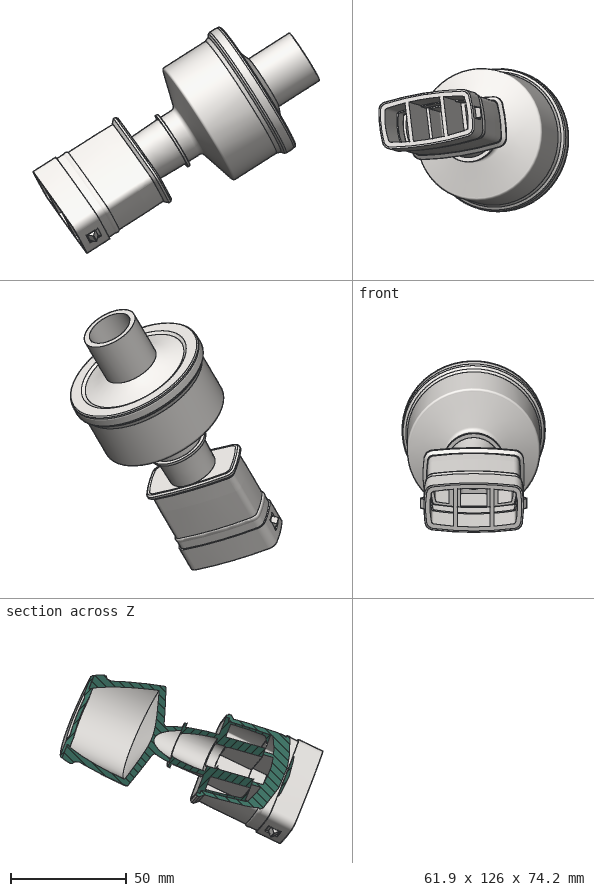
import cadquery as cq
tilt_below_horizontal = 20.0

inlet_radius = 12.2
inlet_bore_radius = 9.7
lid_dome_start = 20.9
lid_face = 24.0
lid_seam = 25.2
lid_rim_radius = 30.8
lid_rim_chamfer = 0.5
lid_recess_outer_radius = 25.2
lid_recess_inner_radius = 23.7
lid_recess_depth = 0.8
lid_dome_mid_radius = 17.6
lid_dome_mid = 23.1
lid_thickness = 1.9

housing_bore_radius = 26.15
housing_radius = 28.67
rim_radius = 30.94
rim_lip_height = 0.8
rim_side_end = 29.0
rim_slope_start = 29.9
rim_slope_end = 30.8
rim_slope_start_radius = 30.5
rim_slope_end_radius = 29.4
rim_cove_end = 32.6
housing_side_end = 53.7
housing_edge_inset = 1.0
housing_cone_start = 54.8
housing_cone_end = 59.2
housing_cone_small_radius = 12.7
neck_start = 61.5
neck_radius = 11.3
neck_bore_radius = 9.6
housing_wall = housing_radius - housing_bore_radius

joint = 67.0
collar_radius = 13.17
collar_thickness = 1.1
tube_end_radius = 10.9
tube_bore_radius = 8.6
flange_rear = 82.0
plate_front = 83.7
plate_half_width = 20.2
plate_half_height = 10.7
flange_front = 85.3
flange_rear_chamfer = 0.8
flange_front_chamfer = 1.5
flange_half_width = 21.87
flange_half_height = 12.1
plug_end = 102.1
plug_wall = 1.3
center_pocket_width = 11.6
center_pocket_half_height = 7.7
center_pocket_rear = 86.3
center_pocket_corner = 1.6
side_pocket_rear = 85.1
side_pocket_inner_x = 10.6
port_radius = 5.86

shell_half_width = 20.35
shell_half_height = 10.5
draft_line = 93.0
rear_draft = 1.0
step_start = 108.1
bead_top = 109.0
step_end = 110.4
bead_half_width = 20.98
bead_half_height = 10.9
tip_half_width = 20.8
tip_half_height = 10.7
mouth_end = 125.46
shell_wall = 1.9
cavity_step = 109.3
cavity_step_height = 0.5
divider_center_x = 8.0
divider_width = 1.8

lug_start = 117.6
lug_tip = 119.7
lug_end = 121.7
lug_tip_flat = 0.4
lug_tip_x = 23.0
lug_height = 4.4
sleeve_start = 113.8
sleeve_half_width = 21.49
sleeve_half_height = 11.4
window_start = 116.3
window_length = 5.9
window_height = 5.3

top_bow = 1.5
side_bow = 0.9
corner_center_x = 17.6
smallest_corner = 0.6


def flat_section(half_width, half_height):
    """Rounded cross-section; the half sizes are measured at the crown of each bowed side."""
    x = half_width - side_bow
    y = half_height - top_bow
    corner = max(half_width - corner_center_x, smallest_corner)
    return (
        cq.Sketch()
        .arc((-x, y), (0, half_height), (x, y))
        .arc((x, y), (half_width, 0), (x, -y))
        .arc((x, -y), (0, -half_height), (-x, -y))
        .arc((-x, -y), (-half_width, 0), (-x, y))
        .assemble()
        .vertices()
        .fillet(corner)
    )


def flat_block(half_width, half_height, start, length, draft=0.0):
    section = flat_section(half_width, half_height)
    return cq.Workplane("XY").workplane(offset=start).placeSketch(section).extrude(length, taper=draft)


def make_bead(sections):
    """Smooth skin through sections given as (half width, half height, position)."""
    start = sections[0][2]
    sketches = [
        flat_section(half_width, half_height).moved(cq.Location(cq.Vector(0, 0, position - start)))
        for half_width, half_height, position in sections
    ]
    return cq.Workplane("XY").workplane(offset=start).placeSketch(*sketches).loft()


def box_between(x_start, x_end, half_height, start, end):
    return (
        cq.Workplane("XY")
        .workplane(offset=start)
        .center((x_start + x_end) / 2, 0)
        .rect(x_end - x_start, 2 * half_height)
        .extrude(end - start)
    )


def bore(radius, start, end):
    return cq.Workplane("XY").workplane(offset=start).circle(radius).extrude(end - start)


def revolved(profile):
    return profile.close().revolve(360, (0, 0, 0), (0, 1, 0))


def make_lid():
    """Inlet tube on a shallow dome, with a recessed ring, a rim and a spigot into the housing."""
    recess_bottom = lid_face + lid_recess_depth
    spigot_end = recess_bottom + lid_thickness
    profile = (
        cq.Workplane("XZ")
        .moveTo(inlet_bore_radius, 0)
        .lineTo(inlet_radius, 0)
        .lineTo(inlet_radius, lid_dome_start)
        .threePointArc((lid_dome_mid_radius, lid_dome_mid), (lid_recess_inner_radius, recess_bottom))
        .lineTo(lid_recess_outer_radius, lid_face)
        .lineTo(lid_rim_radius - lid_rim_chamfer, lid_face)
        .lineTo(lid_rim_radius, lid_face + lid_rim_chamfer)
        .lineTo(lid_rim_radius, lid_seam)
        .lineTo(housing_bore_radius, lid_seam)
        .lineTo(housing_bore_radius, spigot_end)
        .lineTo(lid_recess_inner_radius, spigot_end)
        .lineTo(inlet_bore_radius, lid_dome_start + lid_thickness)
    )
    return revolved(profile)


def make_housing():
    """Drum with a stepped rim, closed by a cone that runs out into the outlet neck."""
    profile = (
        cq.Workplane("XZ")
        .moveTo(housing_bore_radius, lid_seam)
        .lineTo(lid_rim_radius, lid_seam)
        .lineTo(rim_radius, lid_seam + rim_lip_height)
        .lineTo(rim_radius, rim_side_end)
        .lineTo(rim_slope_start_radius, rim_slope_start)
        .lineTo(rim_slope_end_radius, rim_slope_end)
        .lineTo(housing_radius, rim_cove_end)
        .lineTo(housing_radius, housing_side_end)
        .tangentArcPoint((housing_radius - housing_edge_inset, housing_cone_start), relative=False)
        .lineTo(housing_cone_small_radius, housing_cone_end)
        .tangentArcPoint((neck_radius, neck_start), relative=False)
        .lineTo(neck_radius, joint)
        .lineTo(neck_bore_radius, joint)
        .lineTo(neck_bore_radius, housing_cone_end - housing_wall)
        .lineTo(housing_bore_radius, housing_cone_start - housing_wall)
    )
    return revolved(profile)


def make_flange():
    """Double-chamfered flange around the shell's rear end."""
    length = flange_front - flange_rear
    block = flat_block(flange_half_width, flange_half_height, flange_rear, length)
    block = block.faces("<Z").edges().chamfer(flange_rear_chamfer)
    return block.faces(">Z").edges().chamfer(flange_front_chamfer)


def make_adapter():
    """Collared tube on the rear plate, with a three-pocket plug that fills the shell's rear."""
    tube = revolved(
        cq.Workplane("XZ")
        .moveTo(0, joint)
        .lineTo(collar_radius, joint)
        .lineTo(collar_radius, joint + collar_thickness)
        .lineTo(neck_radius, joint + collar_thickness)
        .lineTo(tube_end_radius, flange_rear)
        .lineTo(0, flange_rear)
    )
    adapter = tube.union(make_insert())

    center_half_width = center_pocket_width / 2
    center_pocket = box_between(
        -center_half_width, center_half_width, center_pocket_half_height, center_pocket_rear, plug_end
    )
    center_pocket = center_pocket.faces("<Z").edges("|Y").fillet(center_pocket_corner)
    side_pockets = flat_block(
        shell_half_width - shell_wall - plug_wall,
        shell_half_height - shell_wall - plug_wall,
        side_pocket_rear,
        plug_end - side_pocket_rear,
    ).cut(
        box_between(
            -side_pocket_inner_x, side_pocket_inner_x, shell_half_height, side_pocket_rear, plug_end
        )
    )
    return (
        adapter.cut(center_pocket)
        .cut(side_pockets)
        .cut(bore(tube_bore_radius, joint, flange_rear))
        .cut(bore(port_radius, flange_rear, center_pocket_rear))
    )


def make_insert():
    """Solid form of the rear plate and plug, which also shapes their seat in the shell."""
    plate = flat_block(plate_half_width, plate_half_height, flange_rear, plate_front - flange_rear)
    plug = flat_block(
        shell_half_width - shell_wall,
        shell_half_height - shell_wall,
        plate_front,
        plug_end - plate_front,
    )
    return plate.union(plug)


def make_lug():
    """Wedge-shaped snap lug on the +X side, rooted inside the shell wall."""
    root_x = tip_half_width - shell_wall / 2
    half_flat = lug_tip_flat / 2
    return (
        cq.Workplane("XZ")
        .moveTo(root_x, lug_start)
        .lineTo(tip_half_width, lug_start)
        .lineTo(lug_tip_x, lug_tip - half_flat)
        .lineTo(lug_tip_x, lug_tip + half_flat)
        .lineTo(tip_half_width, lug_end)
        .lineTo(root_x, lug_end)
        .close()
        .extrude(lug_height / 2, both=True)
    )


def make_mouth_cavity():
    """Mouth opening down to the plug, with one step inside, split by two dividers."""
    outer_half_width = tip_half_width - shell_wall
    outer_half_height = tip_half_height - shell_wall
    cavity = flat_block(outer_half_width, outer_half_height, cavity_step, mouth_end - cavity_step).union(
        flat_block(
            outer_half_width - cavity_step_height,
            outer_half_height - cavity_step_height,
            plug_end,
            cavity_step - plug_end,
        )
    )
    half_divider = divider_width / 2
    for center_x in (-divider_center_x, divider_center_x):
        divider = box_between(
            center_x - half_divider, center_x + half_divider, tip_half_height, plug_end, mouth_end
        )
        cavity = cavity.cut(divider)
    return cavity


def make_shell():
    """Flattened mouthpiece: rear flange, slightly drafted body, bead and straight tip."""
    shell_size = (shell_half_width, shell_half_height)
    bead_size = (bead_half_width, bead_half_height)
    tip_size = (tip_half_width, tip_half_height)
    shell = (
        make_flange()
        .union(flat_block(*shell_size, draft_line, plate_front - draft_line, draft=rear_draft))
        .union(flat_block(*shell_size, draft_line, step_start - draft_line))
        .union(make_bead([(*shell_size, step_start), (*bead_size, bead_top), (*tip_size, step_end)]))
        .union(flat_block(*tip_size, step_end, mouth_end - step_end))
    )
    lug = make_lug()
    return (
        shell.union(lug)
        .union(lug.mirror("YZ"))
        .cut(make_insert())
        .cut(make_mouth_cavity())
    )


def make_sleeve():
    """Thin band around the tip, with a window on each side for a snap lug."""
    length = mouth_end - sleeve_start
    windows = box_between(
        -lug_tip_x, lug_tip_x, window_height / 2, window_start, window_start + window_length
    )
    return (
        flat_block(sleeve_half_width, sleeve_half_height, sleeve_start, length)
        .cut(flat_block(tip_half_width, tip_half_height, sleeve_start, length))
        .cut(windows)
    )


def tilted(body):
    """Turn the local Z axis toward -Y and then below the horizontal."""
    return body.rotate((0, 0, 0), (1, 0, 0), 90 + tilt_below_horizontal).val()


lid = make_lid()
housing = make_housing()
adapter = make_adapter()
shell = make_shell()
sleeve = make_sleeve()

result = cq.Compound.makeCompound(
    [tilted(lid), tilted(housing), tilted(adapter), tilted(shell), tilted(sleeve)]
)